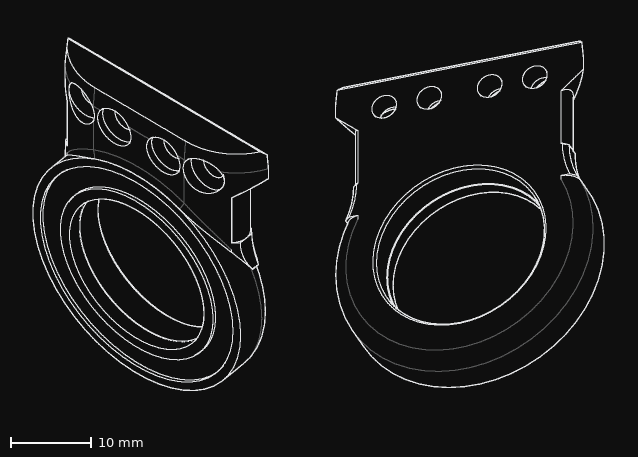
import cadquery as cq
import math

RING_DIAMETER = 34.0
RING_RADIUS = RING_DIAMETER / 2
RING_DEPTH = 6.0
RING_BACK_FILLET = 1.95
BORE_RADIUS = 11
REAR_BORE_RADIUS = 11.15
LIP_DEPTH = 2.0
BORE_CHAMFER = 0.35
GROOVE_INNER_RADIUS = 12.5
GROOVE_OUTER_RADIUS = 15.75
GROOVE_DEPTH = 0.5

OVERALL_HEIGHT = 44
HEAD_TOP = OVERALL_HEIGHT - RING_RADIUS
HEAD_HALF_WIDTH = 16.45
HEAD_DEPTH = 5.6
FLAT_HALF_WIDTH = 7.45
TAPER_HEIGHT = 3.0
TAPER_ANGLE = 5
BACK_CHAMFER = 0.75
SHOULDER_TOP = 22.25
SHOULDER_BOTTOM = 19.7
NECK_HALF_WIDTH = 14.3
NECK_EDGE_HALF_WIDTH = 13.45
NECK_SIDE_DEPTH = 3.5
NECK_BOTTOM = 12.0
WEB_BACK_CHAMFER = 0.65
FRONT_BLEND_RADIUS = 1.9
BLEND_CORE_RADIUS = 16.25
BLEND_STOCK = 2.65

OUTER_HOLE_X = 10.0
INNER_HOLE_X = 4.0
HOLE_Z = 22.5
HOLE_RADIUS = 1.65
SINK_RADIUS = 2.75
OUTER_SINK_FLOOR = 4.05
INNER_SINK_FLOOR = 4.6

bow_width = HEAD_HALF_WIDTH - FLAT_HALF_WIDTH
bow_radius = (bow_width**2 + HEAD_DEPTH**2) / (2 * HEAD_DEPTH)

blend_radius = (NECK_HALF_WIDTH**2 + NECK_BOTTOM**2 - RING_RADIUS**2) / (
    2 * (RING_RADIUS - NECK_HALF_WIDTH)
)


def disc(radius, depth, start=0):
    """Cylinder along Y, running toward the front from y = -start."""
    return cq.Workplane("XZ", origin=(0, -start, 0)).circle(radius).extrude(depth)


def bow_profile(height):
    """Bowed plan section, carried straight on behind the back face for trimming."""
    centre_y = bow_radius - HEAD_DEPTH
    end_angle = math.atan2(bow_width, centre_y)
    middle_x = FLAT_HALF_WIDTH + bow_radius * math.sin(end_angle / 2)
    middle_y = centre_y - bow_radius * math.cos(end_angle / 2)
    back_extra = 1.3
    back_x = HEAD_HALF_WIDTH + back_extra / math.tan(end_angle)
    return (
        cq.Workplane("XY", origin=(0, 0, height))
        .moveTo(-back_x, back_extra)
        .lineTo(-HEAD_HALF_WIDTH, 0)
        .threePointArc((-middle_x, middle_y), (-FLAT_HALF_WIDTH, -HEAD_DEPTH))
        .lineTo(FLAT_HALF_WIDTH, -HEAD_DEPTH)
        .threePointArc((middle_x, middle_y), (HEAD_HALF_WIDTH, 0))
        .lineTo(back_x, back_extra)
        .close()
    )


def make_bow():
    """Full-height bowed block with a flat back and a tapered top band."""
    taper_start = HEAD_TOP - TAPER_HEIGHT
    lower = bow_profile(0).extrude(taper_start)
    upper = bow_profile(taper_start).extrude(TAPER_HEIGHT, taper=TAPER_ANGLE)
    bow = lower.union(upper)
    size = 3 * HEAD_TOP
    return bow.intersect(cq.Workplane("XY").box(size, size, size).translate((0, -size / 2, 0)))


def make_head():
    """Wide top block with sloped shoulders and a chamfered back edge."""
    outline = (
        cq.Workplane("XZ")
        .moveTo(-NECK_EDGE_HALF_WIDTH, SHOULDER_BOTTOM)
        .lineTo(-HEAD_HALF_WIDTH, SHOULDER_TOP)
        .lineTo(-HEAD_HALF_WIDTH, HEAD_TOP)
        .lineTo(HEAD_HALF_WIDTH, HEAD_TOP)
        .lineTo(HEAD_HALF_WIDTH, SHOULDER_TOP)
        .lineTo(NECK_EDGE_HALF_WIDTH, SHOULDER_BOTTOM)
        .close()
        .extrude(RING_DEPTH)
    )
    return make_bow().intersect(outline).edges(">Z and >Y").chamfer(BACK_CHAMFER)


def make_neck():
    """Neck with gently bulged sides."""
    bulge_y = -NECK_SIDE_DEPTH / 2
    section = (
        cq.Workplane("XY")
        .moveTo(-NECK_EDGE_HALF_WIDTH, 0)
        .threePointArc((-NECK_HALF_WIDTH, bulge_y), (-NECK_EDGE_HALF_WIDTH, -NECK_SIDE_DEPTH))
        .lineTo(-NECK_EDGE_HALF_WIDTH, -RING_DEPTH)
        .lineTo(NECK_EDGE_HALF_WIDTH, -RING_DEPTH)
        .lineTo(NECK_EDGE_HALF_WIDTH, -NECK_SIDE_DEPTH)
        .threePointArc((NECK_HALF_WIDTH, bulge_y), (NECK_EDGE_HALF_WIDTH, 0))
        .close()
        .extrude(SHOULDER_TOP)
    )
    return section.intersect(make_bow())


def make_side_blends():
    """Concave webs that widen the foot of the neck into the ring."""
    centre_x = NECK_HALF_WIDTH + blend_radius
    ring_share = RING_RADIUS / (RING_RADIUS + blend_radius)
    foot_x = centre_x * ring_share
    foot_z = NECK_BOTTOM * ring_share
    half_angle = math.atan2(NECK_BOTTOM - foot_z, centre_x - foot_x) / 2
    middle_x = centre_x - blend_radius * math.cos(half_angle)
    middle_z = NECK_BOTTOM - blend_radius * math.sin(half_angle)
    web = (
        cq.Workplane("XZ")
        .moveTo(NECK_EDGE_HALF_WIDTH, NECK_BOTTOM)
        .lineTo(NECK_HALF_WIDTH, NECK_BOTTOM)
        .threePointArc((middle_x, middle_z), (foot_x, foot_z))
        .lineTo(NECK_EDGE_HALF_WIDTH, foot_z)
        .close()
        .extrude(RING_DEPTH)
        .intersect(make_bow())
    )
    back_edges = web.edges(">Y").edges("%CIRCLE")
    web = web.newObject(back_edges.vals()).chamfer(WEB_BACK_CHAMFER)
    return web.union(web.mirror("YZ"))


def make_hole(x, sink_floor):
    """Through hole with a conical seat below a cylindrical recess."""
    pilot = disc(HOLE_RADIUS, RING_DEPTH)
    cone_height = SINK_RADIUS - HOLE_RADIUS
    cone = cq.Workplane("XY").add(
        cq.Solid.makeCone(
            SINK_RADIUS, HOLE_RADIUS, cone_height, cq.Vector(0, -sink_floor, 0), cq.Vector(0, 1, 0)
        )
    )
    recess = disc(SINK_RADIUS, RING_DEPTH - sink_floor, sink_floor)
    return pilot.union(cone).union(recess).translate((x, 0, HOLE_Z))


def make_blended_body():
    """Head and neck with a concave blend where they meet the raised ring face."""
    upper_body = make_head().union(make_neck())
    core_depth = RING_DEPTH + BLEND_STOCK - RING_BACK_FILLET
    core = disc(BLEND_CORE_RADIUS, core_depth, RING_BACK_FILLET)
    body = core.union(upper_body)
    front_zone = cq.selectors.BoxSelector(
        (-HEAD_HALF_WIDTH, -RING_DEPTH, 0),
        (HEAD_HALF_WIDTH, -NECK_SIDE_DEPTH, RING_RADIUS),
    )
    body = body.edges(front_zone).edges("not |Z").fillet(FRONT_BLEND_RADIUS)
    return body.cut(disc(2 * RING_RADIUS, 2 * BLEND_STOCK, RING_DEPTH))


def make_bore():
    """Bore with a narrow front lip and a chamfered back rim."""
    lip = disc(BORE_RADIUS, RING_DEPTH)
    rear = disc(REAR_BORE_RADIUS, RING_DEPTH - LIP_DEPTH)
    rim = cq.Workplane("XY").add(
        cq.Solid.makeCone(
            REAR_BORE_RADIUS + BORE_CHAMFER,
            REAR_BORE_RADIUS,
            BORE_CHAMFER,
            cq.Vector(0, 0, 0),
            cq.Vector(0, -1, 0),
        )
    )
    return lip.union(rear).union(rim)


ring = disc(RING_RADIUS, RING_DEPTH).faces(">Y").edges().fillet(RING_BACK_FILLET)
body = ring.union(make_blended_body()).union(make_side_blends())
body = body.cut(make_bore())
groove = disc(GROOVE_OUTER_RADIUS, GROOVE_DEPTH, RING_DEPTH - GROOVE_DEPTH).cut(
    disc(GROOVE_INNER_RADIUS, RING_DEPTH)
)
body = body.cut(groove)
for side in (-1, 1):
    body = body.cut(make_hole(side * OUTER_HOLE_X, OUTER_SINK_FLOOR))
    body = body.cut(make_hole(side * INNER_HOLE_X, INNER_SINK_FLOOR))

result = body